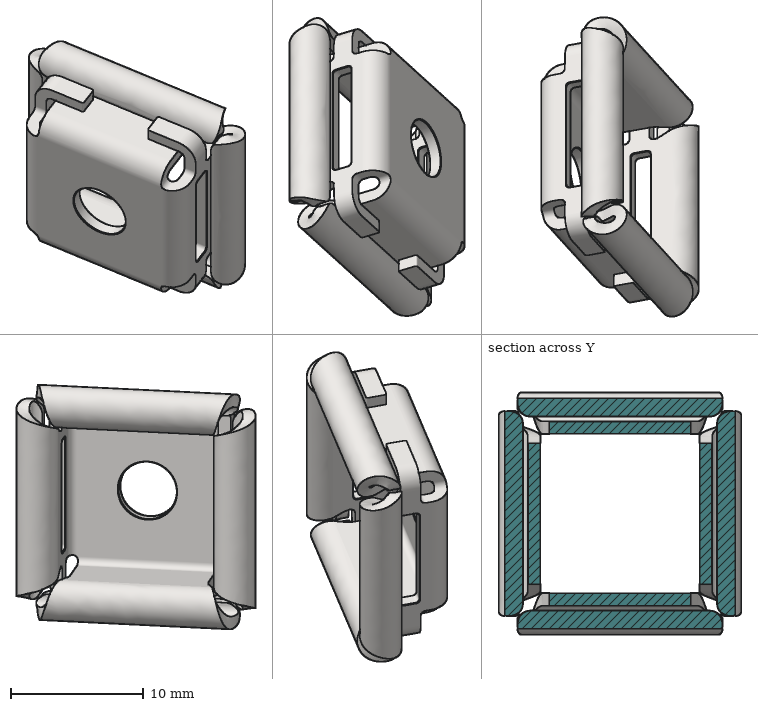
import cadquery as cq
import math

SIZE = 18.36
DEPTH = 7.35
THICKNESS = 0.97
WALL_HALF_SPAN = 6.98
BEND_INNER = 0.57
BEND_OUTER = BEND_INNER + THICKNESS
BEND_LINE = WALL_HALF_SPAN - BEND_OUTER
FLANGE_HALF_WIDTH = 5.32
RELIEF_RADIUS = 0.5
CENTRE_HOLE_DIAMETER = 4.48
EDGE_BREAK = 0.05

WALL_INNER = WALL_HALF_SPAN - THICKNESS
CURL_OUTER = (SIZE / 2 - WALL_INNER) / 2
CURL_INNER = CURL_OUTER - THICKNESS
NEUTRAL_FACTOR = 0.42
CURL_NEUTRAL = CURL_INNER + NEUTRAL_FACTOR * THICKNESS
CURL_Y = DEPTH - CURL_OUTER
CURL_Z = WALL_INNER + CURL_OUTER
LIP_LENGTH = 0.25
CURL_START_ANGLE = -math.pi
CURL_SWEEP = 1.5 * math.pi

TAPER = 0.5
MID_HALF_WIDTH = 7.45
LIP_CORNER_RADIUS = 1.0
TAPER_BLEND_RADIUS = 1.47
END_CURVE_POINTS = 37
SELECTION_MARGIN = 0.18

ARM_FRONT = 2.45
ARM_WIDTH = 1.6
ARM_BACK = ARM_FRONT + ARM_WIDTH
ARM_HALF_SPAN = 8.2
ARM_TIP = 2.79
ARM_TIP_RADIUS = 0.13
ARM_BEND_OUTER = 1.49
ARM_BEND_INNER = ARM_BEND_OUTER - THICKNESS
ARM_ROOT_RADIUS = 0.4
ARM_BEND_START = ARM_HALF_SPAN - ARM_BEND_OUTER
ARM_BEND_END = WALL_HALF_SPAN - ARM_BEND_OUTER
SLOT_LENGTH = 8.81
SLOT_FRONT = 2.55
SLOT_WIDTH = 1.6
SLOT_CORNER_RADIUS = 0.31

CURL_START = CURL_NEUTRAL * CURL_START_ANGLE
LIP_START = CURL_START + CURL_NEUTRAL * CURL_SWEEP
LIP_END = LIP_START + LIP_LENGTH
TAPER_ANGLE = math.atan(TAPER)
CORNER_TANGENT = LIP_CORNER_RADIUS / math.tan((math.pi / 2 - TAPER_ANGLE) / 2)
LIP_HALF_WIDTH = MID_HALF_WIDTH + TAPER * LIP_END - CORNER_TANGENT
CORNER_START = LIP_END - CORNER_TANGENT * math.cos(TAPER_ANGLE)


def curl_half_width(length):
    """Half width of the unrolled curl at a length past its outermost line."""
    if length < CORNER_START:
        return MID_HALF_WIDTH + TAPER * length
    rise = length - (LIP_END - LIP_CORNER_RADIUS)
    return LIP_HALF_WIDTH + math.sqrt(LIP_CORNER_RADIUS ** 2 - rise ** 2)


def curl_end_curve(radius):
    """Curve that the tapered end follows on one cylinder of the curl."""
    points = []
    for i in range(END_CURVE_POINTS):
        angle = CURL_START_ANGLE + CURL_SWEEP * i / (END_CURVE_POINTS - 1)
        x = curl_half_width(CURL_NEUTRAL * angle)
        y = CURL_Y - radius * math.sin(angle)
        z = CURL_Z + radius * math.cos(angle)
        points.append(cq.Vector(x, y, z))
    return cq.Edge.makeSpline(points)


def curl():
    """Rolled part of the +Z flange, bounded by radial end faces."""
    end_face = cq.Face.makeRuledSurface(curl_end_curve(CURL_INNER), curl_end_curve(CURL_OUTER))
    right_limit = cq.Workplane(cq.Solid.extrudeLinear(end_face, cq.Vector(-SIZE, 0, 0)))
    return right_limit.intersect(right_limit.mirror("YZ"))


def lip():
    """Flat strip that follows the curl and points back at the wall."""
    start_half_width = curl_half_width(LIP_START)
    middle = (LIP_START + LIP_END) / 2
    mid_half_width = curl_half_width(middle)
    mid_z = CURL_Z - LIP_LENGTH / 2
    end_z = CURL_Z - LIP_LENGTH
    front = CURL_Y - CURL_OUTER
    return (
        cq.Workplane("XZ", origin=(0, front, 0))
        .moveTo(-start_half_width, CURL_Z)
        .threePointArc((-mid_half_width, mid_z), (-LIP_HALF_WIDTH, end_z))
        .lineTo(LIP_HALF_WIDTH, end_z)
        .threePointArc((mid_half_width, mid_z), (start_half_width, CURL_Z))
        .close()
        .extrude(-THICKNESS)
    )


def wall():
    """Flat wall of the +Z flange, widening where it runs into the curl."""
    start_half_width = curl_half_width(CURL_START)
    taper_y = CURL_Y - (start_half_width - FLANGE_HALF_WIDTH) / TAPER
    flat = (
        cq.Workplane("XY", origin=(0, 0, WALL_INNER))
        .polyline([
            (-FLANGE_HALF_WIDTH, BEND_OUTER),
            (FLANGE_HALF_WIDTH, BEND_OUTER),
            (FLANGE_HALF_WIDTH, taper_y),
            (start_half_width, CURL_Y),
            (-start_half_width, CURL_Y),
            (-FLANGE_HALF_WIDTH, taper_y),
        ])
        .close()
        .extrude(THICKNESS)
    )
    taper_edges = cq.selectors.BoxSelector(
        (-SIZE, taper_y - SELECTION_MARGIN, 0), (SIZE, taper_y + SELECTION_MARGIN, SIZE)
    )
    return flat.edges("|Z").edges(taper_edges).fillet(TAPER_BLEND_RADIUS)


def bend():
    """Quarter bend from the front plate into the +Z wall, long enough for the corner reliefs."""
    half_length = FLANGE_HALF_WIDTH + RELIEF_RADIUS
    diagonal = math.sqrt(0.5)
    return (
        cq.Workplane("YZ", origin=(-half_length, 0, 0))
        .moveTo(0, BEND_LINE)
        .threePointArc(
            (BEND_OUTER * (1 - diagonal), BEND_LINE + BEND_OUTER * diagonal),
            (BEND_OUTER, WALL_HALF_SPAN),
        )
        .lineTo(BEND_OUTER, WALL_INNER)
        .threePointArc(
            (BEND_OUTER - BEND_INNER * diagonal, BEND_LINE + BEND_INNER * diagonal),
            (THICKNESS, BEND_LINE),
        )
        .close()
        .extrude(2 * half_length)
    )


def around(shape, angle):
    """Copy of a +Z flange feature turned about the Y axis."""
    return shape.rotate((0, 0, 0), (0, 1, 0), angle)


def front_plate():
    """Front plate with four bends, rounded corner reliefs and the centre hole."""
    plate = cq.Workplane("XZ").rect(2 * BEND_LINE, 2 * BEND_LINE).extrude(-THICKNESS)
    for angle in (0, 90, 180, 270):
        plate = plate.union(around(bend(), angle))
    strip = cq.Workplane("XZ").rect(SIZE, 2 * FLANGE_HALF_WIDTH).extrude(-BEND_OUTER)
    cross = strip.union(around(strip, 90))
    inner_corners = cq.selectors.BoxSelector(
        (-BEND_LINE, -DEPTH, -BEND_LINE), (BEND_LINE, DEPTH, BEND_LINE)
    )
    cross = cross.edges("|Y").edges(inner_corners).fillet(RELIEF_RADIUS)
    hole = cq.Workplane("XZ").circle(CENTRE_HOLE_DIAMETER / 2).extrude(-THICKNESS)
    plate = plate.intersect(cross).cut(hole)
    return plate.edges("%CIRCLE").edges(cq.selectors.RadiusNthSelector(-1)).chamfer(EDGE_BREAK)


def arm():
    """Hooked arm at the +X, +Z corner, bent inward around the +Z wall."""
    hook = (
        cq.Workplane("XZ", origin=(0, ARM_FRONT, 0))
        .moveTo(WALL_INNER, FLANGE_HALF_WIDTH)
        .lineTo(WALL_HALF_SPAN, FLANGE_HALF_WIDTH)
        .lineTo(WALL_HALF_SPAN, ARM_BEND_START)
        .radiusArc((ARM_BEND_END, ARM_HALF_SPAN), -ARM_BEND_OUTER)
        .lineTo(ARM_TIP, ARM_HALF_SPAN)
        .lineTo(ARM_TIP, ARM_HALF_SPAN - THICKNESS)
        .lineTo(ARM_BEND_END, ARM_HALF_SPAN - THICKNESS)
        .radiusArc((WALL_INNER, ARM_BEND_START), ARM_BEND_INNER)
        .close()
        .extrude(-ARM_WIDTH)
    )
    return hook.faces("<X").edges("|Z").fillet(ARM_TIP_RADIUS)


def arm_root(arm_edge, direction):
    """Concave fillet between the +X wall and one edge of its +Z arm."""
    wall_edge_y = arm_edge + direction * ARM_ROOT_RADIUS
    arm_edge_z = FLANGE_HALF_WIDTH + ARM_ROOT_RADIUS
    return (
        cq.Workplane("YZ", origin=(WALL_INNER, 0, 0))
        .moveTo(arm_edge, FLANGE_HALF_WIDTH)
        .lineTo(wall_edge_y, FLANGE_HALF_WIDTH)
        .radiusArc((arm_edge, arm_edge_z), direction * ARM_ROOT_RADIUS)
        .close()
        .extrude(THICKNESS)
    )


def cut_slot(wall_plate):
    """Wall with a rounded slot whose rims are chamfered on both faces."""
    slot = (
        cq.Workplane("XY", origin=(0, SLOT_FRONT + SLOT_WIDTH / 2, WALL_INNER))
        .rect(SLOT_LENGTH, SLOT_WIDTH)
        .extrude(THICKNESS)
        .edges("|Z")
        .fillet(SLOT_CORNER_RADIUS)
    )
    rim_reach = SLOT_LENGTH / 2 + EDGE_BREAK
    rims = cq.selectors.BoxSelector(
        (-rim_reach, SLOT_FRONT - EDGE_BREAK, 0),
        (rim_reach, SLOT_FRONT + SLOT_WIDTH + EDGE_BREAK, SIZE),
    )
    return wall_plate.cut(slot).faces("<Z or >Z").edges(rims).chamfer(EDGE_BREAK)


rolled_edge = curl().union(lip())
z_flange = wall().union(rolled_edge)
x_flange = cut_slot(wall()).union(rolled_edge)
corner_arm = arm().union(arm_root(ARM_FRONT, -1)).union(arm_root(ARM_BACK, 1))
arm_pair = corner_arm.union(corner_arm.mirror("XY"))
arms = arm_pair.union(arm_pair.mirror("YZ"))

result = front_plate()
for turn in (0, 180):
    result = result.union(around(z_flange, turn))
    result = result.union(around(x_flange, turn + 90))
result = result.union(arms)